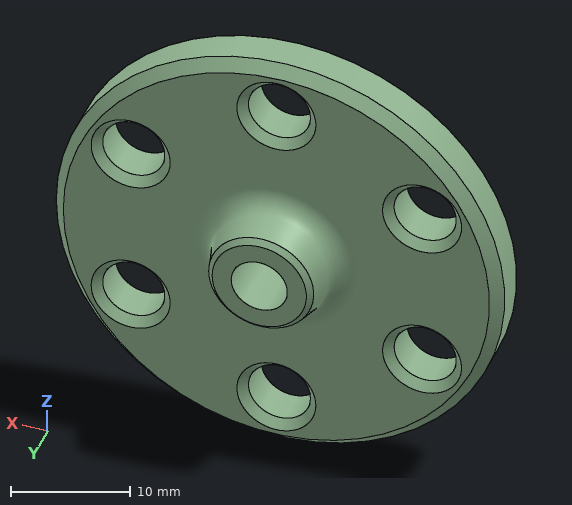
import cadquery as cq
import math

disc_radius = 20.0
disc_thickness = 4.0
rim_chamfer = 1.0

total_depth = 8.25
hub_tip_radius = 4.2
hub_tip_chamfer = 0.48
hub_taper = math.radians(15)
hub_root_fillet = 2.0

center_hole_diameter = 5.0
bolt_hole_diameter = 5.5
bolt_hole_chamfer = 0.75
bolt_circle_radius = 15.0
bolt_hole_count = 6

cone_top_y = total_depth - hub_tip_chamfer
cone_top_radius = hub_tip_radius + hub_tip_chamfer
cone_bottom_y = disc_thickness + hub_root_fillet * (1 - math.sin(hub_taper))
cone_bottom_radius = cone_top_radius + (cone_top_y - cone_bottom_y) * math.tan(hub_taper)

fillet_center_radius = cone_bottom_radius + hub_root_fillet * math.cos(hub_taper)
fillet_center_y = disc_thickness + hub_root_fillet
fillet_mid_angle = (math.pi / 2 + hub_taper) / 2
fillet_mid = (
    fillet_center_radius - hub_root_fillet * math.cos(fillet_mid_angle),
    fillet_center_y - hub_root_fillet * math.sin(fillet_mid_angle),
)


def make_body():
    """Revolve the half profile of disc and hub around the Y axis."""
    return (
        cq.Workplane("XY")
        .lineTo(disc_radius, 0)
        .lineTo(disc_radius, disc_thickness - rim_chamfer)
        .lineTo(disc_radius - rim_chamfer, disc_thickness)
        .lineTo(fillet_center_radius, disc_thickness)
        .threePointArc(fillet_mid, (cone_bottom_radius, cone_bottom_y))
        .lineTo(cone_top_radius, cone_top_y)
        .lineTo(hub_tip_radius, total_depth)
        .lineTo(0, total_depth)
        .close()
        .revolve(360, (0, 0, 0), (0, 1, 0))
    )


def make_center_hole():
    """Cylinder through disc and hub; the XZ normal is -Y, so negative lengths run toward +Y."""
    return cq.Workplane("XZ").circle(center_hole_diameter / 2).extrude(-total_depth)


def make_bolt_hole():
    """Revolved cutter along Y that flares at the hub side of the disc."""
    radius = bolt_hole_diameter / 2
    return (
        cq.Workplane("XY")
        .lineTo(radius, 0)
        .lineTo(radius, disc_thickness - bolt_hole_chamfer)
        .lineTo(radius + bolt_hole_chamfer, disc_thickness)
        .lineTo(0, disc_thickness)
        .close()
        .revolve(360, (0, 0, 0), (0, 1, 0))
    )


result = make_body().cut(make_center_hole())
bolt_hole = make_bolt_hole().translate((0, 0, bolt_circle_radius))
for index in range(bolt_hole_count):
    angle = index * 360 / bolt_hole_count
    result = result.cut(bolt_hole.rotate((0, 0, 0), (0, 1, 0), angle))